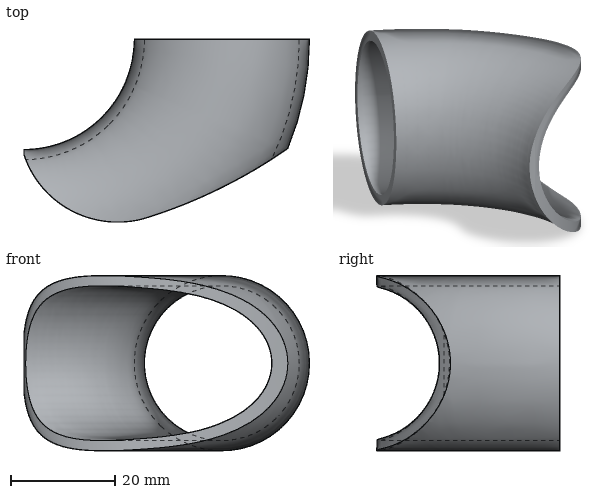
import cadquery as cq
import math

outer_reach = 54.85
pipe_diameter = 33.7
wall = 2.0
bend_angle = 90

pipe_radius = pipe_diameter / 2
bore_radius = pipe_radius - wall
bend_radius = outer_reach - pipe_radius

small_arc_radius = 19.0
small_arc_center = (18.0, -16.2)
large_arc_radius = 100.0
blend_angle = math.radians(-72.4)


def point_at(center, radius, angle):
    """Point on a circle in XY, at an angle measured from +X."""
    return (center[0] + radius * math.cos(angle), center[1] + radius * math.sin(angle))


def quarter_bend(radius):
    """Solid round bar bent from the mouth at +X down to the end face in the YZ plane."""
    section = cq.Workplane("XZ").moveTo(bend_radius, 0).circle(radius)
    return section.revolve(bend_angle, (0, 0, 0), (0, -1, 0))


def trim_envelope():
    """Prism along Z holding everything kept between the trim curve and the mouth plane."""
    large_arc_center = point_at(small_arc_center, small_arc_radius - large_arc_radius, blend_angle)
    small_arc_start = -math.pi
    large_arc_end = math.asin(-large_arc_center[1] / large_arc_radius)

    left_point = point_at(small_arc_center, small_arc_radius, small_arc_start)
    small_arc_middle = point_at(small_arc_center, small_arc_radius, (small_arc_start + blend_angle) / 2)
    blend_point = point_at(small_arc_center, small_arc_radius, blend_angle)
    large_arc_middle = point_at(large_arc_center, large_arc_radius, (blend_angle + large_arc_end) / 2)
    right_point = point_at(large_arc_center, large_arc_radius, large_arc_end)

    return (
        cq.Workplane("XY")
        .moveTo(*left_point)
        .threePointArc(small_arc_middle, blend_point)
        .threePointArc(large_arc_middle, right_point)
        .lineTo(left_point[0], 0)
        .close()
        .extrude(pipe_diameter, both=True)
    )


elbow = quarter_bend(pipe_radius).cut(quarter_bend(bore_radius))
result = elbow.intersect(trim_envelope())